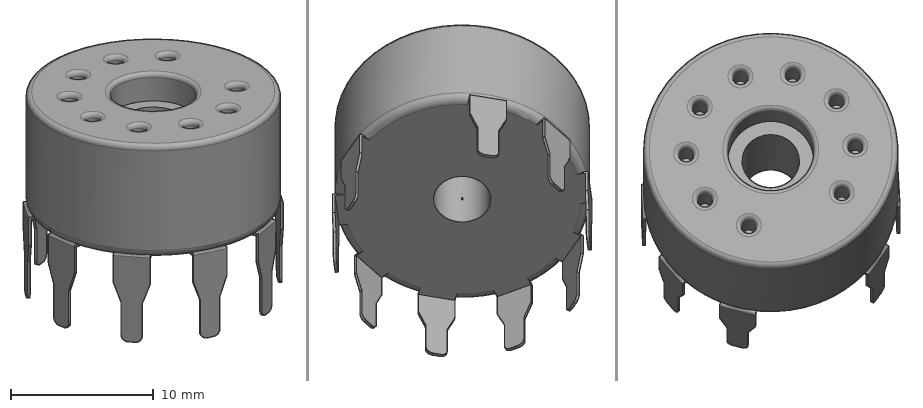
import cadquery as cq
import math

HOUSING_DIAMETER = 17.8
HOUSING_HEIGHT = 8.7
TOP_EDGE_RADIUS = 0.4
BOTTOM_EDGE_RADIUS = 0.6

BORE_DIAMETER = 6.0
BORE_DEPTH = 2.15
BORE_EDGE_RADIUS = 0.34
THROUGH_DIAMETER = 4.0

POSITION_COUNT = 10
POSITION_STEP = 360 / POSITION_COUNT
FIRST_ANGLE = -90.0
EMPTY_POSITION = POSITION_COUNT // 2
CONTACT_ANGLES = [
    FIRST_ANGLE + POSITION_STEP * position
    for position in range(POSITION_COUNT)
    if position != EMPTY_POSITION
]

SOCKET_CIRCLE_RADIUS = 5.91
SOCKET_DIAMETER = 1.02
SOCKET_DEPTH = BORE_DEPTH
SOCKET_EDGE_RADIUS = 0.35

SHEET_THICKNESS = 0.2
LEG_FACE_RADIUS = 9.0
LEG_LENGTH = 6.5
LEG_WIDTH = 2.62
LEG_SHOULDER_DEPTH = 1.99
TIP_WIDTH = 1.5
TIP_SHOULDER_DEPTH = 3.5
TIP_CORNER_RADIUS = 0.5
BEND_RADIUS = 0.1
TAB_LENGTH = 1.8

PIP_DIAMETER = 0.1
PIP_HEIGHT = PIP_DIAMETER


def at_contact(shape, angle):
    """Turn a shape built along +X to a contact position."""
    return shape.rotate((0, 0, 0), (0, 0, 1), angle)


def make_rounded_hole(diameter, depth, edge_radius):
    """Cutter for a blind hole in the top face whose mouth flares out in a rounded edge."""
    radius = diameter / 2
    arc_offset = edge_radius * (1 - math.sqrt(0.5))
    mouth_radius = radius + edge_radius
    return (
        cq.Workplane("XZ", origin=(0, 0, HOUSING_HEIGHT))
        .moveTo(0, -depth)
        .lineTo(radius, -depth)
        .lineTo(radius, -edge_radius)
        .threePointArc((radius + arc_offset, -arc_offset), (mouth_radius, 0))
        .lineTo(0, 0)
        .close()
        .revolve(360, (0, 0, 0), (0, 1, 0))
    )


def make_leg():
    """One contact leg at the +X side: shaped blade hanging down, and the tab that holds it."""
    half_leg = LEG_WIDTH / 2
    half_tip = TIP_WIDTH / 2
    blade = (
        cq.Workplane("YZ", origin=(LEG_FACE_RADIUS - SHEET_THICKNESS, 0, 0))
        .polyline(
            [
                (-half_leg, SHEET_THICKNESS),
                (-half_leg, -LEG_SHOULDER_DEPTH),
                (-half_tip, -TIP_SHOULDER_DEPTH),
                (-half_tip, -LEG_LENGTH),
                (half_tip, -LEG_LENGTH),
                (half_tip, -TIP_SHOULDER_DEPTH),
                (half_leg, -LEG_SHOULDER_DEPTH),
                (half_leg, SHEET_THICKNESS),
            ]
        )
        .close()
        .extrude(SHEET_THICKNESS)
        .edges("|X and <Z")
        .fillet(TIP_CORNER_RADIUS)
    )
    tab = cq.Workplane("XY").box(TAB_LENGTH, LEG_WIDTH, SHEET_THICKNESS, centered=(False, True, False))
    tab = tab.translate((LEG_FACE_RADIUS - TAB_LENGTH, 0, 0))
    return blade.union(tab).edges("|Y and >Z and >X").fillet(BEND_RADIUS)


def make_housing():
    """Housing with its stepped hole, its contact sockets and its legs, as one body."""
    body = cq.Workplane("XY").circle(HOUSING_DIAMETER / 2).extrude(HOUSING_HEIGHT)
    body = body.faces(">Z").edges().fillet(TOP_EDGE_RADIUS)
    body = body.faces("<Z").edges().fillet(BOTTOM_EDGE_RADIUS)

    body = body.cut(cq.Workplane("XY").circle(THROUGH_DIAMETER / 2).extrude(HOUSING_HEIGHT))
    body = body.cut(make_rounded_hole(BORE_DIAMETER, BORE_DEPTH, BORE_EDGE_RADIUS))

    socket = make_rounded_hole(SOCKET_DIAMETER, SOCKET_DEPTH, SOCKET_EDGE_RADIUS)
    socket = socket.translate((SOCKET_CIRCLE_RADIUS, 0, 0))
    leg = make_leg()
    for angle in CONTACT_ANGLES:
        body = body.cut(at_contact(socket, angle))
        body = body.union(at_contact(leg, angle))
    return body


def make_pip():
    """Tiny cylinder standing alone in the middle of the through hole."""
    return cq.Workplane("XY").circle(PIP_DIAMETER / 2).extrude(PIP_HEIGHT)


housing = make_housing()
pip = make_pip()

result = cq.Compound.makeCompound([housing.val(), pip.val()])